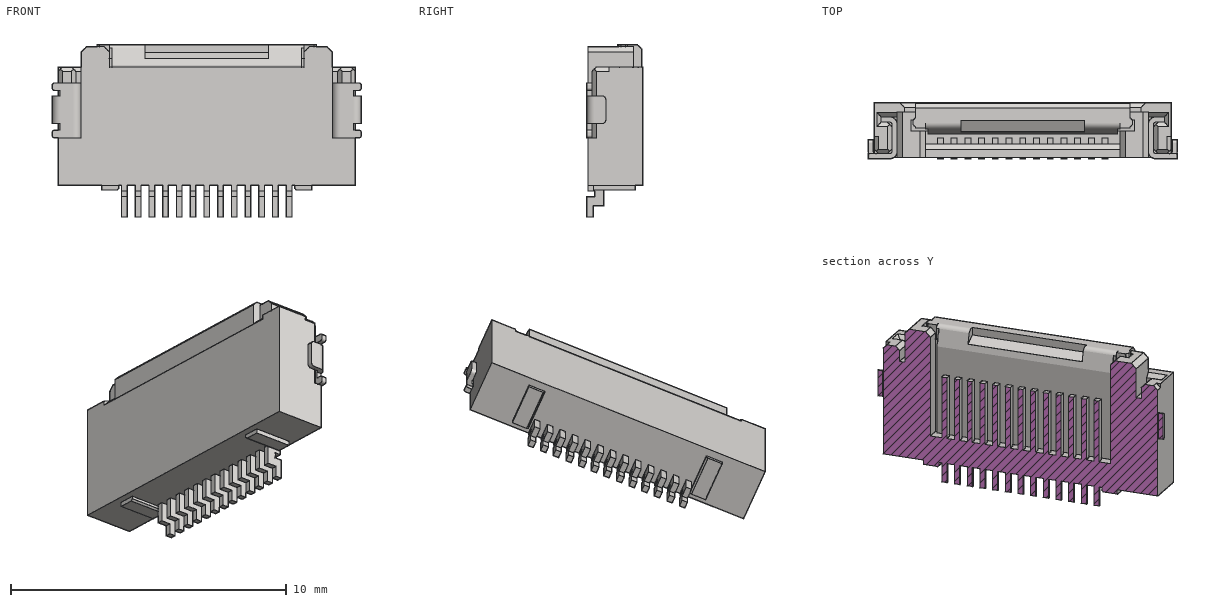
import cadquery as cq

BODY_HALF = 5.41
BODY_DEPTH = 2.0
SHOULDER_Z = 4.31
TOWER_HALF = 4.57
TOWER_BACK = 1.65
TOWER_Z = 5.05
TOWER_CHAMFER = 0.19
OVERCUT = 0.56

CAVITY_HALF = 3.54
CAVITY_FLOOR = 1.0
WALL_THICKNESS = 0.51
WALL_CHAMFER = 0.2

COVER_HALF = 3.9
COVER_FRONT = 1.08
COVER_BACK = 1.97
COVER_Z = 5.13
COVER_CHAMFER = 0.17
WING_HALF = 3.99
WING_FRONT = 1.11
WING_BACK = 1.45
GAP_HALF = 4.07
GAP_FRONT = 0.98
GAP_BACK = 1.37
GAP_FLOOR = 4.61
TONGUE_HALF = 3.44
TONGUE_FRONT = 0.87
TONGUE_BOTTOM_Z = 4.38
LIP_TOP_Y = 1.25
LIP_MIDDLE_Y = 1.11
LIP_MIDDLE_Z = 5.08
LIP_FRONT_Y = 1.05
LIP_FRONT_Z = 5.01
RECESS_HALF = 2.25
RECESS_BACK = 1.35
RECESS_STEP_Z = 4.84
RECESS_FRONT_Y = 0.95
RECESS_FRONT_Z = 4.62

RELIEF_HALF = 4.31
RELIEF_FRONT = 1.83
RELIEF_DEPTH = BODY_DEPTH - RELIEF_FRONT

STRIP = 0.19
CLIP_HALF = 5.62
CLIP_FRONT = -0.05
CLIP_BACK = 1.48
CLIP_BOTTOM = 1.73
CLIP_TOP = 3.74
BEND_RADIUS = 0.28
BACK_LEG_END = 5.15
FRONT_LEG_END = CLIP_HALF - BEND_RADIUS
TAB_BACK = 0.65
TAB_BOTTOM = 2.25
TAB_TOP = 3.26
TAB_CORNER = 0.14
EAR_HEIGHT = 0.28
EAR_CORNER = 0.09
SLOT_BEVEL = 0.16
POST_CHAMFER = 0.17
SIDE_BEVEL_BACK = 0.76

PIN_COUNT = 13
PIN_ROW = 6.0
PIN_PITCH = PIN_ROW / (PIN_COUNT - 1)
PIN_WIDTH = 0.21
PIN_BACK = 0.58
PIN_NECK_FRONT = 0.25
FOOT_FRONT = -0.05
FOOT_BACK = 0.2
FOOT_TOP = -0.4
FOOT_BOTTOM = -1.15
HEEL_BOTTOM = -0.74
ROOT_BOTTOM = -0.2
BEAM_BACK = 0.72
BEAM_TOP = 3.38
PAD_INNER = 3.2
PAD_OUTER = 3.82
PAD_FRONT = 0.2
PAD_BACK = 1.73
PAD_HEIGHT = 0.17
PAD_CHAMFER = 0.07


def block(x0, x1, y0, y1, z0, z1):
    """Box between two opposite corners."""
    return cq.Workplane("XY").box(x1 - x0, y1 - y0, z1 - z0, centered=False).translate((x0, y0, z0))


def centred_block(half, y0, y1, z0, z1):
    return block(-half, half, y0, y1, z0, z1)


def side_prism(half, outline):
    """Extrude a (Y, Z) outline symmetrically along X."""
    return cq.Workplane("YZ").polyline(outline).close().extrude(half, both=True)


def both_sides(right):
    return right.union(right.mirror("YZ"))


def make_housing():
    body = centred_block(BODY_HALF, 0, BODY_DEPTH, 0, SHOULDER_Z)
    tower = centred_block(TOWER_HALF, 0, TOWER_BACK, 0, TOWER_Z)
    tower = tower.faces(">Z").edges("|Y").chamfer(TOWER_CHAMFER)
    housing = body.union(tower)

    cavity = centred_block(CAVITY_HALF, WALL_THICKNESS, GAP_FRONT, CAVITY_FLOOR, TOWER_Z)
    mouth = centred_block(CAVITY_HALF, 0, GAP_FRONT, SHOULDER_Z, TOWER_Z)
    wall_chamfer = side_prism(CAVITY_HALF, [
        (WALL_THICKNESS - WALL_CHAMFER, SHOULDER_Z),
        (WALL_THICKNESS, SHOULDER_Z),
        (WALL_THICKNESS, SHOULDER_Z - WALL_CHAMFER),
    ])
    mouth_flare = (
        cq.Workplane("XZ")
        .polyline([
            (CAVITY_HALF, TOWER_Z - TOWER_CHAMFER),
            (CAVITY_HALF + TOWER_CHAMFER, TOWER_Z),
            (CAVITY_HALF, TOWER_Z),
        ])
        .close()
        .extrude(-GAP_FRONT)
    )
    wing_gap = centred_block(GAP_HALF, GAP_FRONT, GAP_BACK, GAP_FLOOR, TOWER_Z)
    return (
        housing.cut(cavity).cut(mouth).cut(wall_chamfer)
        .cut(both_sides(mouth_flare)).cut(wing_gap)
    )


def make_shoulder_relief():
    """Bevel on the back edge plus a shallow pocket beside each end of the cover."""
    bevel = side_prism(BODY_HALF, [
        (RELIEF_FRONT, SHOULDER_Z),
        (BODY_DEPTH, SHOULDER_Z),
        (BODY_DEPTH, SHOULDER_Z - RELIEF_DEPTH),
    ])
    mitre = (
        cq.Workplane("XY")
        .polyline([
            (-RELIEF_HALF, RELIEF_FRONT),
            (RELIEF_HALF, RELIEF_FRONT),
            (RELIEF_HALF + RELIEF_DEPTH, BODY_DEPTH),
            (-RELIEF_HALF - RELIEF_DEPTH, BODY_DEPTH),
        ])
        .close()
        .extrude(SHOULDER_Z)
    )
    pocket = centred_block(RELIEF_HALF, TOWER_BACK, RELIEF_FRONT, SHOULDER_Z - RELIEF_DEPTH, SHOULDER_Z)
    return bevel.intersect(mitre).union(pocket)


def make_cover():
    base_z = SHOULDER_Z - RELIEF_DEPTH
    cover = centred_block(COVER_HALF, COVER_FRONT, COVER_BACK, base_z, COVER_Z)
    cover = cover.faces(">Z").edges(">Y").chamfer(COVER_CHAMFER)
    wing_step = WING_HALF - COVER_HALF
    wings = centred_block(WING_HALF, WING_FRONT, WING_BACK, base_z, COVER_Z)
    wings = wings.edges("|Z").chamfer(wing_step)
    cover = cover.union(wings)
    cover = cover.cut(centred_block(CAVITY_HALF, COVER_FRONT, LIP_TOP_Y, base_z, COVER_Z))

    lip = (
        cq.Workplane("YZ")
        .moveTo(LIP_TOP_Y, COVER_Z)
        .threePointArc((LIP_MIDDLE_Y, LIP_MIDDLE_Z), (LIP_FRONT_Y, LIP_FRONT_Z))
        .lineTo(LIP_FRONT_Y, base_z)
        .lineTo(LIP_TOP_Y, base_z)
        .close()
        .extrude(CAVITY_HALF, both=True)
    )
    lead_in = side_prism(TONGUE_HALF, [
        (LIP_FRONT_Y, LIP_FRONT_Z),
        (TONGUE_FRONT, TONGUE_BOTTOM_Z),
        (TONGUE_FRONT, CAVITY_FLOOR),
        (LIP_FRONT_Y, CAVITY_FLOOR),
    ])
    recess = side_prism(RECESS_HALF, [
        (RECESS_BACK, COVER_Z),
        (RECESS_BACK, RECESS_STEP_Z),
        (RECESS_FRONT_Y, RECESS_FRONT_Z),
        (TONGUE_FRONT, RECESS_FRONT_Z),
        (TONGUE_FRONT, COVER_Z),
    ])
    return cover.union(lip).union(lead_in).cut(recess)


def make_clip_slot():
    """Slot around a post in the right shoulder; the post has chamfered corners and a bevelled top."""
    slot_inner = TOWER_HALF - OVERCUT
    slot_outer = BODY_HALF + OVERCUT
    post_front = CLIP_FRONT + STRIP
    post_back = CLIP_BACK - STRIP
    post_inner = TOWER_HALF + STRIP
    shared_points = [
        (BACK_LEG_END, post_back),
        (BACK_LEG_END, CLIP_BACK),
        (slot_inner, CLIP_BACK),
        (slot_inner, -OVERCUT),
        (slot_outer, -OVERCUT),
    ]
    square_post = shared_points + [
        (slot_outer, post_front),
        (post_inner, post_front),
        (post_inner, post_back),
    ]
    chamfered_post = shared_points + [
        (slot_outer, post_front + POST_CHAMFER),
        (BODY_HALF, post_front + POST_CHAMFER),
        (BODY_HALF - POST_CHAMFER, post_front),
        (post_inner + POST_CHAMFER, post_front),
        (post_inner, post_front + POST_CHAMFER),
        (post_inner, post_back - POST_CHAMFER),
        (post_inner + POST_CHAMFER, post_back),
    ]
    slot = cq.Workplane("XY", origin=(0, 0, CLIP_BOTTOM)).polyline(chamfered_post).close()
    slot = slot.extrude(SHOULDER_Z - CLIP_BOTTOM)
    flare_z = SHOULDER_Z - SLOT_BEVEL
    flare_wire = cq.Workplane("XY", origin=(0, 0, flare_z)).polyline(square_post).close().val()
    top_wire = flare_wire.offset2D(SLOT_BEVEL, "intersection")[0].translate(cq.Vector(0, 0, SLOT_BEVEL))
    flare = cq.Solid.makeLoft([flare_wire, top_wire], True)
    limits = block(TOWER_HALF, slot_outer, -OVERCUT, BODY_DEPTH, CLIP_BOTTOM, SHOULDER_Z)
    side_bevel = (
        cq.Workplane("XZ")
        .polyline([
            (BODY_HALF - SLOT_BEVEL, SHOULDER_Z),
            (BODY_HALF, SHOULDER_Z),
            (BODY_HALF, flare_z),
        ])
        .close()
        .extrude(-SIDE_BEVEL_BACK)
    )
    return slot.union(flare).intersect(limits).union(side_bevel)


def make_clip():
    """Bent strip on the right: back leg, side leg, front leg, bent tab and two ears."""
    loop = block(TOWER_HALF, CLIP_HALF, CLIP_FRONT, CLIP_BACK, CLIP_BOTTOM, CLIP_TOP)
    loop = loop.edges("|Z").fillet(BEND_RADIUS)
    inside = block(
        TOWER_HALF + STRIP, CLIP_HALF - STRIP, CLIP_FRONT + STRIP, CLIP_BACK - STRIP, CLIP_BOTTOM, CLIP_TOP
    )
    loop = loop.cut(inside.edges("|Z").fillet(BEND_RADIUS - STRIP))

    middle_y = (CLIP_FRONT + CLIP_BACK) / 2
    back_part = block(TOWER_HALF, BACK_LEG_END, middle_y, CLIP_BACK, CLIP_BOTTOM, CLIP_TOP)
    front_part = block(TOWER_HALF, FRONT_LEG_END, CLIP_FRONT, middle_y, CLIP_BOTTOM, CLIP_TOP)
    tab_part = block(FRONT_LEG_END, CLIP_HALF, CLIP_FRONT, TAB_BACK, TAB_BOTTOM, TAB_TOP)
    tab_part = tab_part.edges("|X and >Y").fillet(TAB_CORNER)
    clip = loop.intersect(back_part.union(front_part).union(tab_part))

    for ear_z in (CLIP_BOTTOM, CLIP_TOP - EAR_HEIGHT):
        ear = block(FRONT_LEG_END, CLIP_HALF, CLIP_FRONT, CLIP_FRONT + STRIP, ear_z, ear_z + EAR_HEIGHT)
        clip = clip.union(ear.edges("|Y and >X").fillet(EAR_CORNER))
    return clip


def make_contacts():
    pin = side_prism(PIN_WIDTH / 2, [
        (0, 0),
        (PIN_BACK, 0),
        (PIN_BACK, HEEL_BOTTOM),
        (FOOT_BACK, HEEL_BOTTOM),
        (FOOT_BACK, FOOT_BOTTOM),
        (FOOT_FRONT, FOOT_BOTTOM),
        (FOOT_FRONT, FOOT_TOP),
        (PIN_NECK_FRONT, FOOT_TOP),
        (PIN_NECK_FRONT, ROOT_BOTTOM),
        (0, ROOT_BOTTOM),
    ])
    beam = centred_block(PIN_WIDTH / 2, WALL_THICKNESS, BEAM_BACK, CAVITY_FLOOR, BEAM_TOP)
    contacts = cq.Workplane("XY")
    for index in range(PIN_COUNT):
        x = index * PIN_PITCH - PIN_ROW / 2
        contacts = contacts.add(pin.translate((x, 0, 0))).add(beam.translate((x, 0, 0)))
    return contacts.combine()


def make_pad():
    pad = block(PAD_INNER, PAD_OUTER, PAD_FRONT, PAD_BACK, -PAD_HEIGHT, 0)
    return pad.faces("<Z").edges("<X").chamfer(PAD_CHAMFER)


result = (
    make_housing()
    .cut(make_shoulder_relief())
    .union(make_cover())
    .cut(both_sides(make_clip_slot()))
    .union(both_sides(make_clip()))
    .union(both_sides(make_pad()))
    .union(make_contacts())
)